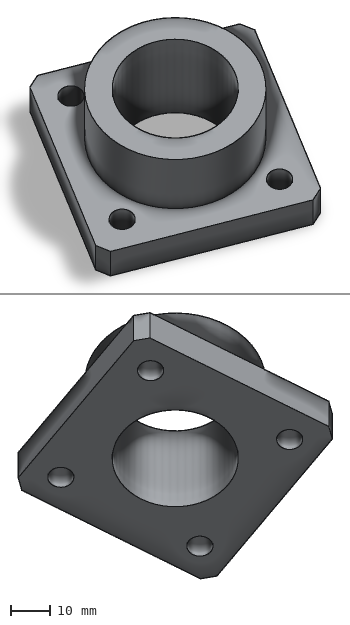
import cadquery as cq

flange_side = 60.0
total_height = 30.0
flange_thickness = total_height / 3
corner_chamfer = 3.0
boss_diameter = 46.0
bore_diameter = 32.0
bolt_hole_diameter = 6.6
bolt_spacing = 42.0

flange = (
    cq.Workplane("XY")
    .box(flange_side, flange_side, flange_thickness, centered=(True, True, False))
    .edges("|Z")
    .chamfer(corner_chamfer)
)

boss = cq.Workplane("XY").circle(boss_diameter / 2).extrude(total_height)

bore = cq.Workplane("XY").circle(bore_diameter / 2).extrude(total_height)

bolt_holes = (
    cq.Workplane("XY")
    .rect(bolt_spacing, bolt_spacing, forConstruction=True)
    .vertices()
    .circle(bolt_hole_diameter / 2)
    .extrude(flange_thickness)
)

result = flange.union(boss).cut(bore).cut(bolt_holes)